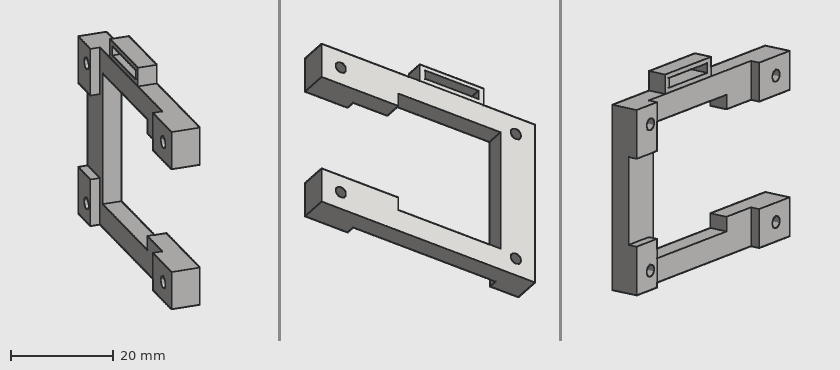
import cadquery as cq

frame_length = 50.0
frame_height = 38.0
plate_thickness = 4.0
column_width = 8.1
rail_height = 5.0
arm_end_height = 8.0
arm_end_start = 32.0

pad_thickness = 2.0
left_pad_width = 6.65
left_pad_height = 10.0
right_pad_width = 10.0
right_pad_height = arm_end_height

hole_diameter = 2.4
hole_side_inset = 4.5
hole_edge_inset = 4.0

loop_start = 12.0
loop_length = 15.0
loop_height = 4.0
loop_side_wall = 1.25
loop_flat_wall = 1.0

plate_front = pad_thickness
total_depth = pad_thickness + plate_thickness


def block(x, y, z, length, depth, height):
    """Box whose lowest corner is at (x, y, z)."""
    return cq.Workplane("XY").box(length, depth, height, centered=False).translate((x, y, z))


def make_plate():
    """C-shaped plate whose two arms get taller at their free ends."""
    outline = [
        (0, 0),
        (frame_length, 0),
        (frame_length, arm_end_height),
        (arm_end_start, arm_end_height),
        (arm_end_start, rail_height),
        (column_width, rail_height),
        (column_width, frame_height - rail_height),
        (arm_end_start, frame_height - rail_height),
        (arm_end_start, frame_height - arm_end_height),
        (frame_length, frame_height - arm_end_height),
        (frame_length, frame_height),
        (0, frame_height),
    ]
    plate = cq.Workplane("XZ").polyline(outline).close().extrude(-plate_thickness)
    return plate.translate((0, plate_front, 0))


def add_pads(plate):
    """Join a pad to the plate at each of its four corners."""
    right_pad_start = frame_length - right_pad_width
    pad_sizes = [
        (0, left_pad_width, left_pad_height),
        (right_pad_start, right_pad_width, right_pad_height),
    ]
    for x, width, height in pad_sizes:
        for z in (0, frame_height - height):
            plate = plate.union(block(x, 0, z, width, pad_thickness, height))
    return plate


def cut_screw_holes(body):
    """Drill a screw hole through each pad and the plate behind it."""
    centers = [
        (x, z)
        for x in (hole_side_inset, frame_length - hole_side_inset)
        for z in (hole_edge_inset, frame_height - hole_edge_inset)
    ]
    holes = cq.Workplane("XZ").pushPoints(centers).circle(hole_diameter / 2).extrude(-total_depth)
    return body.cut(holes)


def make_frame():
    """Plate, pads and screw holes as one solid."""
    return cut_screw_holes(add_pads(make_plate()))


def make_strap_loop():
    """Rectangular loop resting on the top rail, with a slot open along Y."""
    loop = block(loop_start, plate_front, frame_height, loop_length, plate_thickness, loop_height)
    slot = block(
        loop_start + loop_side_wall,
        plate_front,
        frame_height + loop_flat_wall,
        loop_length - 2 * loop_side_wall,
        plate_thickness,
        loop_height - 2 * loop_flat_wall,
    )
    return loop.cut(slot)


frame = make_frame()
strap_loop = make_strap_loop()

result = cq.Compound.makeCompound([frame.val(), strap_loop.val()])